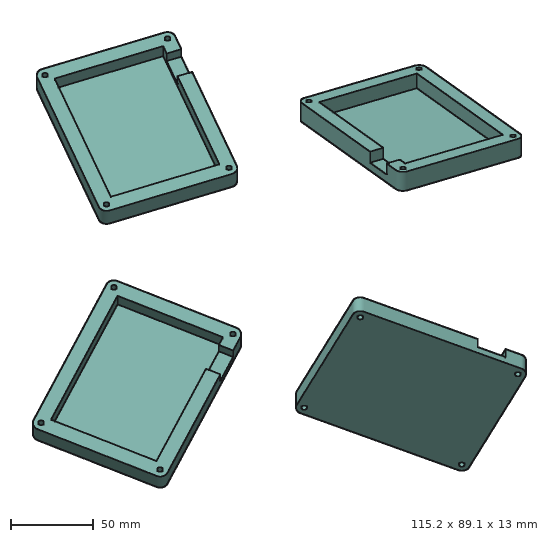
import cadquery as cq

length = 115.25
width = 89.06
height = 13.0
corner_radius = 5.0

wall = 9.5
floor_thickness = 3.0

hole_diameter = 3.4

notch_start = 15.5
notch_width = 18.5
notch_depth = 7.5


def make_body():
    """Plate with rounded vertical edges, standing on Z = 0."""
    body = cq.Workplane("XY").box(length, width, height, centered=(True, True, False))
    return body.edges("|Z").fillet(corner_radius)


def make_pocket():
    """Rectangular volume removed from the inside of the tray."""
    pocket = cq.Workplane("XY").box(
        length - 2 * wall,
        width - 2 * wall,
        height - floor_thickness,
        centered=(True, True, False),
    )
    return pocket.translate((0, 0, floor_thickness))


def make_notch():
    """Rectangular volume removed across the rear (+Y) wall."""
    notch = cq.Workplane("XY").box(notch_width, wall, notch_depth, centered=False)
    return notch.translate((notch_start - length / 2, width / 2 - wall, height - notch_depth))


def make_screw_holes():
    """Four through cylinders, one on the axis of each rounded corner."""
    spacing_x = length - 2 * corner_radius
    spacing_y = width - 2 * corner_radius
    return (
        cq.Workplane("XY")
        .rect(spacing_x, spacing_y, forConstruction=True)
        .vertices()
        .circle(hole_diameter / 2)
        .extrude(height)
    )


result = make_body().cut(make_pocket()).cut(make_notch()).cut(make_screw_holes())